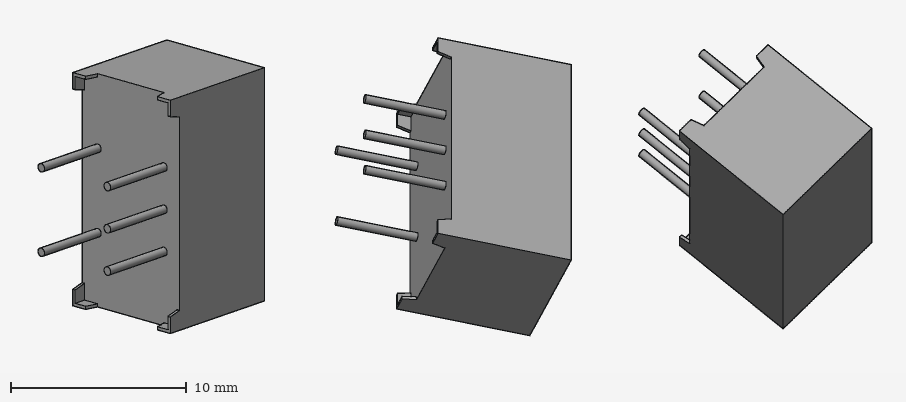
import cadquery as cq

HOUSING_WIDTH = 7.5
HOUSING_HEIGHT = 14.0
HOUSING_DEPTH = 8.0
FOOT_LENGTH = 0.8
FOOT_THICKNESS = 0.2
FOOT_TIP_WIDTH = 1.0
FOOT_ROOT_WIDTH = 1.2

PIN_DIAMETER = 0.5
PIN_PITCH = 2.53
PIN_ROW_SPACING = 5.08
PIN_TIP_Y = -12.0

FOOT_TIP_Y = -HOUSING_DEPTH
FRONT_FACE_Y = FOOT_TIP_Y + FOOT_LENGTH
PIN_LENGTH = FRONT_FACE_Y - PIN_TIP_Y

PIN_ROW_X = PIN_ROW_SPACING / 2
PIN_POSITIONS = [
    (-PIN_ROW_X, -PIN_PITCH),
    (-PIN_ROW_X, PIN_PITCH),
    (PIN_ROW_X, -PIN_PITCH),
    (PIN_ROW_X, 0),
    (PIN_ROW_X, PIN_PITCH),
]

PLANE_ACROSS_Z = cq.Plane(origin=(0, 0, 0), xDir=(1, 0, 0), normal=(0, 0, 1))
PLANE_ACROSS_X = cq.Plane(origin=(0, 0, 0), xDir=(0, 0, 1), normal=(-1, 0, 0))


def box_along_y(width, height, front_y, back_y):
    """Box centred on the Y axis, between two Y positions."""
    middle_y = (front_y + back_y) / 2
    return cq.Workplane("XY").box(width, back_y - front_y, height).translate((0, middle_y, 0))


def gap_between_feet(plane, side_length, through_length):
    """Trapezoid prism that clears the space between the feet on two opposite sides."""
    half_root = side_length / 2 - FOOT_ROOT_WIDTH
    half_tip = side_length / 2 - FOOT_TIP_WIDTH
    return (
        cq.Workplane(plane)
        .polyline([
            (-half_root, FRONT_FACE_Y),
            (half_root, FRONT_FACE_Y),
            (half_tip, FOOT_TIP_Y),
            (-half_tip, FOOT_TIP_Y),
        ])
        .close()
        .extrude(through_length / 2, both=True)
    )


def make_block_with_feet():
    """Block whose front is cut back to the front face, except for the four corner feet."""
    block = box_along_y(HOUSING_WIDTH, HOUSING_HEIGHT, FOOT_TIP_Y, 0)
    recess = box_along_y(
        HOUSING_WIDTH - 2 * FOOT_THICKNESS,
        HOUSING_HEIGHT - 2 * FOOT_THICKNESS,
        FOOT_TIP_Y,
        FRONT_FACE_Y,
    )
    gap_across_z = gap_between_feet(PLANE_ACROSS_Z, HOUSING_WIDTH, HOUSING_HEIGHT)
    gap_across_x = gap_between_feet(PLANE_ACROSS_X, HOUSING_HEIGHT, HOUSING_WIDTH)
    return block.cut(recess).cut(gap_across_z).cut(gap_across_x)


def make_pins():
    """Five round pins from the front face outwards; the XZ plane faces -Y."""
    return (
        cq.Workplane("XZ", origin=(0, FRONT_FACE_Y, 0))
        .pushPoints(PIN_POSITIONS)
        .circle(PIN_DIAMETER / 2)
        .extrude(PIN_LENGTH)
    )


def make_housing():
    """Block, feet and pins as a single solid."""
    return make_block_with_feet().union(make_pins()).clean()


housing = make_housing()

result = cq.Compound.makeCompound([housing.solids().val()])